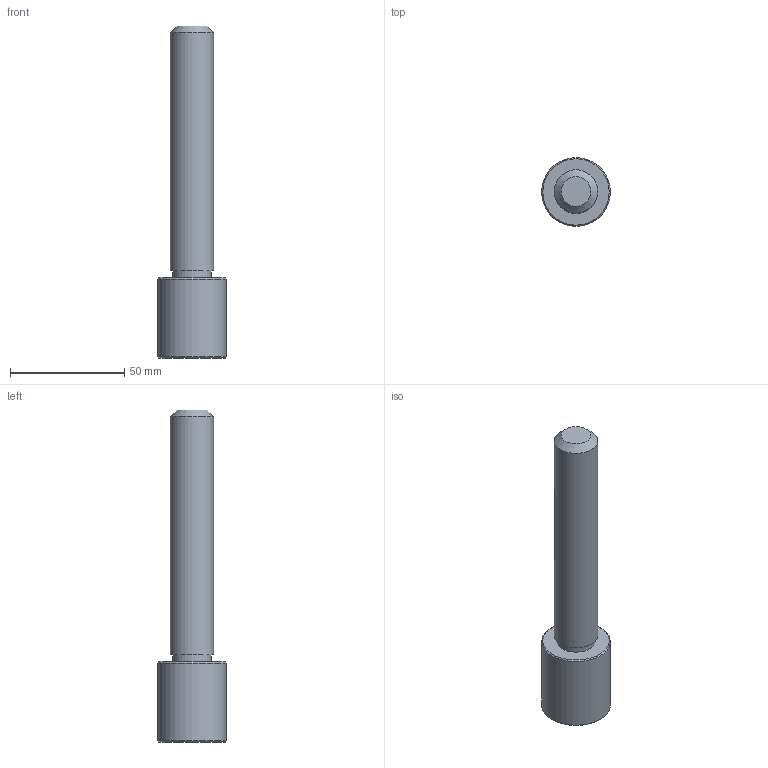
import cadquery as cq

total_length = 145.0
head_diameter = 30.0
head_length = 35.0
head_chamfer = 0.5
neck_diameter = 17.0
neck_length = 3.0
shank_diameter = 19.0
tip_diameter = 13.0
tip_length = 3.0

neck_top = head_length + neck_length
shank_length = total_length - neck_top


def make_head():
    """Cylindrical head standing on the XY plane, both rims chamfered."""
    head = cq.Workplane("XY").circle(head_diameter / 2).extrude(head_length)
    return head.faces("<Z or >Z").edges().chamfer(head_chamfer)


def make_neck():
    """Relief groove between the head and the shank."""
    return cq.Workplane("XY").workplane(offset=head_length).circle(neck_diameter / 2).extrude(neck_length)


def make_shank():
    """Long shank with a conical lead-in at its free end."""
    shank = cq.Workplane("XY").workplane(offset=neck_top).circle(shank_diameter / 2).extrude(shank_length)
    tip_inset = (shank_diameter - tip_diameter) / 2
    return shank.faces(">Z").chamfer(tip_length, tip_inset)


result = make_head().union(make_neck()).union(make_shank())